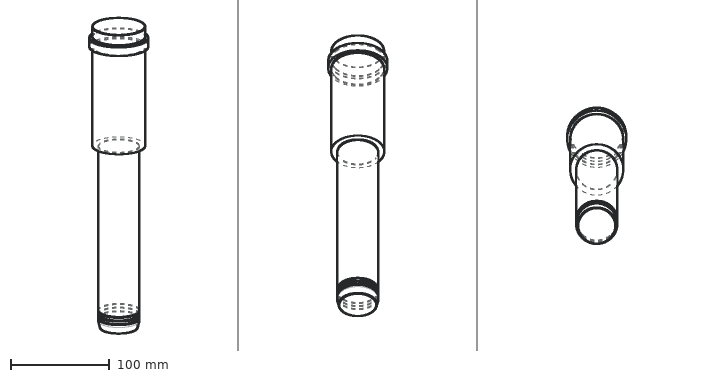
import cadquery as cq

total_length = 323.0
head_diameter = 54.0
collar_diameter = 60.0
shaft_diameter = 42.0

collar_top_depth = 12.0
collar_bottom_depth = 21.5
shoulder_depth = 128.0

tip_diameter = 38.8
lead_in_length = 7.5
tip_chamfer = 0.5

groove_count = 3
first_groove_bottom = 10.0
groove_pitch = 4.0
groove_width = 1.0
groove_depth = 0.3

edge_chamfer = 0.5


def cylinder(diameter, bottom, top):
    return cq.Workplane("XY").workplane(offset=bottom).circle(diameter / 2).extrude(top - bottom)


def tapered_shaft():
    shaft_radius = shaft_diameter / 2
    tip_radius = tip_diameter / 2
    profile = (
        cq.Workplane("XZ")
        .moveTo(0, 0)
        .lineTo(tip_radius - tip_chamfer, 0)
        .lineTo(tip_radius, tip_chamfer)
        .lineTo(shaft_radius, lead_in_length)
        .lineTo(shaft_radius, total_length - shoulder_depth)
        .lineTo(0, total_length - shoulder_depth)
        .close()
    )
    return profile.revolve(360, (0, 0), (0, 1))


def ring_groove(diameter, bottom):
    top = bottom + groove_width
    outer = cylinder(diameter + 2 * groove_depth, bottom, top)
    core = cylinder(diameter - 2 * groove_depth, bottom, top)
    return outer.cut(core)


shoulder_height = total_length - shoulder_depth
collar_bottom = total_length - collar_bottom_depth
collar_top = total_length - collar_top_depth

shaft = tapered_shaft()
for index in range(groove_count):
    shaft = shaft.cut(ring_groove(shaft_diameter, first_groove_bottom + index * groove_pitch))
shaft = shaft.cut(ring_groove(shaft_diameter, shoulder_height - groove_width))

head = cylinder(head_diameter, shoulder_height, total_length).faces(">Z").chamfer(edge_chamfer)
for groove_bottom in (collar_bottom - groove_width, collar_top):
    head = head.cut(ring_groove(head_diameter, groove_bottom))

collar = cylinder(collar_diameter, collar_bottom, collar_top).faces(">Z").chamfer(edge_chamfer)

result = shaft.union(head).union(collar)